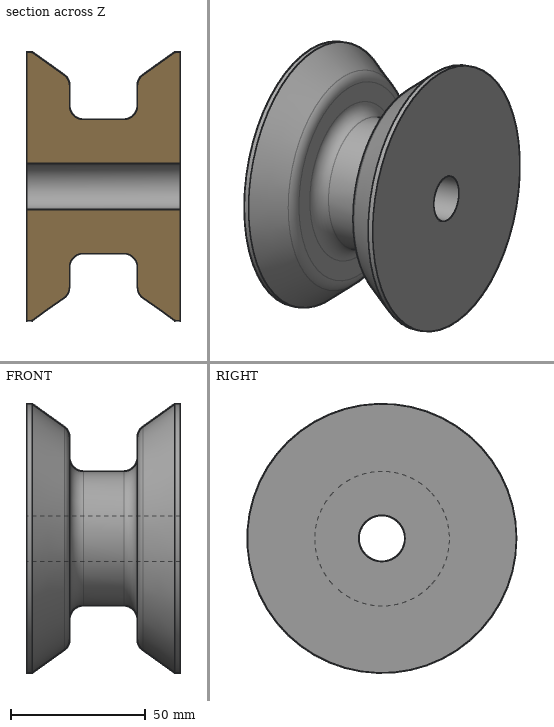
import cadquery as cq

outer_diameter = 100.0
hub_diameter = 50.0
bore_diameter = 17.0
total_width = 57.0
groove_width = 25.0
rim_width = 2.0
taper_drop = 10.0
fillet_radius = 5.0

outer_radius = outer_diameter / 2
hub_radius = hub_diameter / 2
bore_radius = bore_diameter / 2
taper_radius = outer_radius - taper_drop
half_width = total_width / 2
half_groove = groove_width / 2
rim_inner_x = half_width - rim_width

section = [
    (-half_width, bore_radius),
    (-half_width, outer_radius),
    (-rim_inner_x, outer_radius),
    (-half_groove, taper_radius),
    (-half_groove, hub_radius),
    (half_groove, hub_radius),
    (half_groove, taper_radius),
    (rim_inner_x, outer_radius),
    (half_width, outer_radius),
    (half_width, bore_radius),
]
roller = cq.Workplane("XY").polyline(section).close().revolve(360, (0, 0, 0), (1, 0, 0))

for face_x in (-half_groove, half_groove):
    inner_edges = cq.selectors.BoxSelector(
        (face_x - rim_width / 2, -outer_radius, -outer_radius),
        (face_x + rim_width / 2, outer_radius, outer_radius),
        boundingbox=True,
    )
    roller = roller.edges(inner_edges).edges("%CIRCLE").fillet(fillet_radius)

result = roller